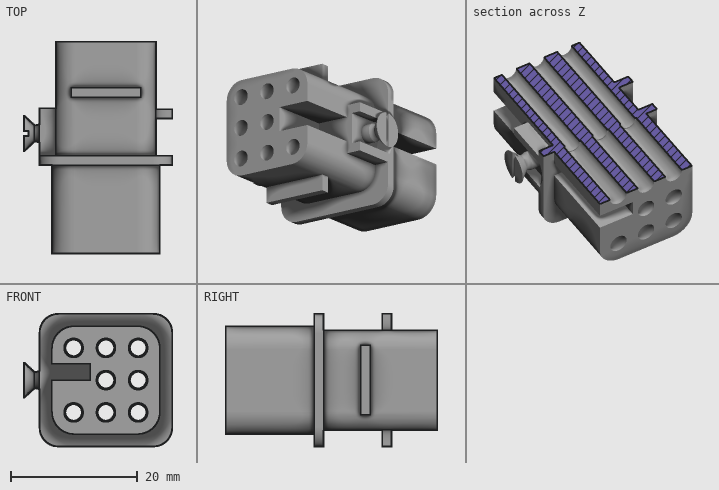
import cadquery as cq


flange_size = 21.0
flange_thickness = 1.5
flange_radius = 3.0
flange_half = flange_size / 2

front_size = 17.05
front_length = 14.0
front_radius = 3.5
key_slot_bottom = 0.0
key_slot_top = 2.6
slot_floor_x = -2.45

rear_size = 15.85
rear_length = 18.0
rear_radius = 3.0
rear_half = rear_size / 2
rear_end = flange_thickness + rear_length
rear_slot_width = 4.0

contact_pitch = 5.1
rear_contact_diameter = 2.6
front_contact_diameter = 3.0
empty_place = (-1, 0)

tab_width = 11.0
tab_thickness = 1.5
end_tab_setback = 8.0
side_tab_setback = 11.4
end_tab_y = rear_end - end_tab_setback
side_tab_y = rear_end - side_tab_setback
tab_root = 0.5

block_length = 7.5
block_height = 8.0
recess_height = 5.0
recess_radius = 4.65
recess_floor_radius = 3.0
recess_depth = 1.6
recess_floor_x = recess_depth - flange_half
block_end = flange_thickness + block_length

screw_offset = 3.5
screw_y = flange_thickness + screw_offset
screw_top_x = -13.0
head_diameter = 5.6
head_height = 1.7
head_rim = 0.1
neck_diameter = 2.6
shank_diameter = 3.0
flare_length = 0.9
shank_root_x = slot_floor_x
driver_slot_width = 0.75
driver_slot_depth = 0.75


def box(x_range, y_range, z_range):
    """Box between two limits along each axis."""
    size = [high - low for low, high in (x_range, y_range, z_range)]
    corner = (x_range[0], y_range[0], z_range[0])
    return cq.Workplane("XY").box(*size, centered=False).translate(corner)


def rounded_prism(size, radius, y_start, length):
    """Square prism along Y with rounded long edges."""
    prism = box((-size / 2, size / 2), (y_start, y_start + length), (-size / 2, size / 2))
    return prism.edges("|Y").fillet(radius)


def cylinder_along_y(x, z, diameter, y_start, length):
    cylinder = cq.Solid.makeCylinder(diameter / 2, length, cq.Vector(x, y_start, z), cq.Vector(0, 1, 0))
    return cq.Workplane(cylinder)


def make_bodies():
    flange = rounded_prism(flange_size, flange_radius, 0, flange_thickness)
    front = rounded_prism(front_size, front_radius, -front_length, front_length)
    rear = rounded_prism(rear_size, rear_radius, flange_thickness, rear_length)
    return flange.union(front).union(rear)


def make_tabs():
    """Tabs above and below the rear body and one on its +X side."""
    root = rear_half - tab_root
    half_width = tab_width / 2
    end_range = (end_tab_y - tab_thickness / 2, end_tab_y + tab_thickness / 2)
    side_range = (side_tab_y - tab_thickness / 2, side_tab_y + tab_thickness / 2)
    upper = box((-half_width, half_width), end_range, (root, flange_half))
    lower = upper.mirror("XY")
    side = box((root, flange_half), side_range, (-half_width, half_width))
    return upper.union(lower).union(side)


def make_screw_block():
    return box(
        (-flange_half, slot_floor_x),
        (flange_thickness, block_end),
        (-block_height / 2, block_height / 2),
    )


def make_screw_recess():
    """Conical seat around the screw, kept to the recess height and open to the rear."""
    heights = (-recess_height / 2, recess_height / 2)
    seat = cq.Workplane(
        cq.Solid.makeCone(
            recess_radius, recess_floor_radius, recess_depth,
            cq.Vector(-flange_half, screw_y, 0), cq.Vector(1, 0, 0),
        )
    )
    band = box(
        (-flange_half, recess_floor_x),
        (screw_y - recess_radius, block_end),
        heights,
    )
    opening = box((-flange_half, recess_floor_x), (screw_y, block_end), heights)
    return seat.intersect(band).union(opening)


def make_screw():
    """Countersunk slotted screw along X, its neck flaring in a concave arc to the shank."""
    neck_x = screw_top_x + head_height
    neck_radius = neck_diameter / 2
    shank_radius = shank_diameter / 2
    head_radius = head_diameter / 2
    flare_end_x = neck_x + flare_length
    flare_middle = (neck_x + flare_length / 2, neck_radius + (shank_radius - neck_radius) / 4)
    screw = (
        cq.Workplane("XY")
        .moveTo(screw_top_x, 0)
        .lineTo(screw_top_x, head_radius)
        .lineTo(screw_top_x + head_rim, head_radius)
        .lineTo(neck_x, neck_radius)
        .threePointArc(flare_middle, (flare_end_x, shank_radius))
        .lineTo(shank_root_x, shank_radius)
        .lineTo(shank_root_x, 0)
        .close()
        .revolve(360, (0, 0), (1, 0))
    )
    driver_slot = box(
        (screw_top_x, screw_top_x + driver_slot_depth),
        (-driver_slot_width / 2, driver_slot_width / 2),
        (-head_radius, head_radius),
    )
    return screw.cut(driver_slot).translate((0, screw_y, 0))


def cut_slots(body):
    """Key slot in the front body and the wider slot in the rear body, both open to -X."""
    key_slot = box((-front_size / 2, slot_floor_x), (-front_length, 0), (key_slot_bottom, key_slot_top))
    rear_slot = box(
        (-rear_half, slot_floor_x),
        (block_end, rear_end),
        (-rear_slot_width / 2, rear_slot_width / 2),
    )
    return body.cut(key_slot).cut(rear_slot)


def cut_contact_holes(body):
    """Stepped through holes along Y, wider in the front body than in the rear."""
    for column in (-1, 0, 1):
        for row in (-1, 0, 1):
            if (column, row) == empty_place:
                continue
            x = column * contact_pitch
            z = row * contact_pitch
            rear_bore = cylinder_along_y(x, z, rear_contact_diameter, 0, rear_end)
            front_bore = cylinder_along_y(x, z, front_contact_diameter, -front_length, front_length)
            body = body.cut(rear_bore).cut(front_bore)
    return body


insert = make_bodies().union(make_tabs()).union(make_screw_block())
insert = cut_slots(insert)
insert = insert.cut(make_screw_recess())
insert = cut_contact_holes(insert)
result = insert.union(make_screw())